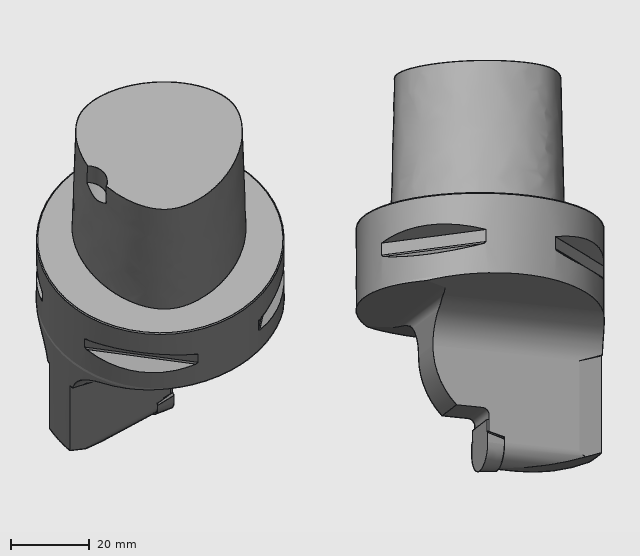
import cadquery as cq
import math


shank_height = 38.3
shank_base_radius = 22.1
shank_taper = 0.9
lobe_height = 1.2
outline_samples = 60

notch_radius = 5.1
notch_axis_y = -22.8
notch_floor_z = 31.7
notch_tip_depth = 3.9

flange_radius = 31.5
flange_height = 21.8
flange_chamfer = 0.3
step_height = 0.7
lower_radius = 31.6

groove_count = 4
groove_floor_distance = 27.9
groove_centre_z = -11.7
groove_floor_width = 3.7
groove_mouth_width = 7.7
groove_bevel = 0.5

blade_half_width = 5.4
blade_fillet_radius = 10.8
blade_fillet_end_z = -34.4
underside_slope = math.radians(8.5)
blade_round_z = -58.2

rim_z = -21.9
underside_inner_y = 17.0
underside_inner_z = -23.0
heel_y = 14.7
heel_start_z = -26.0
toe_y = 8.3
toe_z = -49.4
seat_y = -0.5
seat_fillet_radius = 1.9
belly_mid_y = -15.4
belly_mid_z = -62.6
belly_end_y = -27.1
belly_end_z = -59.5
tail_z = -57.8

corner_start_y = -25.0
corner_half_width = 4.5
corner_top_z = -32.1

insert_face_y = 0.1
insert_back_y = -4.6
insert_plate_top_z = -52.5
insert_half_width = 6.0
insert_back_half_width = 5.5
insert_shoulder = 0.6
insert_bottom_z = shank_height - 103
insert_back_bottom_z = -64.2
seat_top_z = -55.6
seat_back_top_z = -56.6
seat_slope = (seat_top_z - seat_back_top_z) / (seat_y - insert_back_y)
insert_face_top_z = seat_top_z + seat_slope * (insert_face_y - seat_y)


def lobed_outline(mean_radius):
    """Points of the three-lobed curve with support height mean_radius + lobe_height * cos(3a)."""
    points = []
    for index in range(outline_samples):
        a = 2 * math.pi * index / outline_samples
        support = mean_radius + lobe_height * math.cos(3 * a)
        slide = -3 * lobe_height * math.sin(3 * a)
        x = -support * math.sin(a) - slide * math.cos(a)
        y = support * math.cos(a) - slide * math.sin(a)
        points.append((x, y))
    return points


def make_shank():
    shank = (
        cq.Workplane("XY")
        .spline(lobed_outline(shank_base_radius), periodic=True, makeWire=True)
        .workplane(offset=shank_height)
        .spline(lobed_outline(shank_base_radius - shank_taper), periodic=True, makeWire=True)
        .loft(ruled=True)
    )
    drill = (
        cq.Workplane("XZ", origin=(0, notch_axis_y, 0))
        .moveTo(0, shank_height)
        .lineTo(notch_radius, shank_height)
        .lineTo(notch_radius, notch_floor_z)
        .lineTo(0, notch_floor_z - notch_tip_depth)
        .close()
        .revolve(360, (0, 0, 0), (0, 1, 0))
    )
    return shank.cut(drill)


def make_round_blank():
    """Turned envelope of the flange and everything below it."""
    return (
        cq.Workplane("XZ")
        .moveTo(0, 0)
        .lineTo(flange_radius - flange_chamfer, 0)
        .lineTo(flange_radius, -flange_chamfer)
        .lineTo(flange_radius, -flange_height)
        .lineTo(lower_radius, -flange_height - step_height)
        .lineTo(lower_radius, insert_bottom_z)
        .lineTo(0, insert_bottom_z)
        .close()
        .revolve(360, (0, 0, 0), (0, 1, 0))
    )


def make_width_envelope():
    """Flange, sloped underside, fillets and round-edged blade, extruded along Y."""
    centre_x = blade_half_width + blade_fillet_radius
    mid_angle = underside_slope / 2 + math.pi / 4

    def fillet_point(angle):
        x = centre_x - blade_fillet_radius * math.sin(angle)
        z = blade_fillet_end_z + blade_fillet_radius * math.cos(angle)
        return (x, z)

    top_x, top_z = fillet_point(underside_slope)
    mid_x, mid_z = fillet_point(mid_angle)
    side_z = top_z + (lower_radius - top_x) * math.tan(underside_slope)
    return (
        cq.Workplane("XZ")
        .moveTo(-lower_radius, 0)
        .lineTo(lower_radius, 0)
        .lineTo(lower_radius, side_z)
        .lineTo(top_x, top_z)
        .threePointArc((mid_x, mid_z), (blade_half_width, blade_fillet_end_z))
        .lineTo(blade_half_width, blade_round_z)
        .threePointArc((0, blade_round_z - blade_half_width), (-blade_half_width, blade_round_z))
        .lineTo(-blade_half_width, blade_fillet_end_z)
        .threePointArc((-mid_x, mid_z), (-top_x, top_z))
        .lineTo(-lower_radius, side_z)
        .close()
        .extrude(lower_radius, both=True)
    )


def make_side_envelope():
    """Side outline of flange and blade in the YZ plane, extruded along X."""
    fillet_offset = seat_fillet_radius * (1 - math.sqrt(0.5))
    return (
        cq.Workplane("YZ")
        .moveTo(-lower_radius, 0)
        .lineTo(lower_radius, 0)
        .lineTo(lower_radius, rim_z)
        .lineTo(underside_inner_y, underside_inner_z)
        .tangentArcPoint((heel_y, heel_start_z), relative=False)
        .lineTo(heel_y, blade_fillet_end_z)
        .tangentArcPoint((toe_y, toe_z), relative=False)
        .lineTo(seat_y + seat_fillet_radius, toe_z)
        .threePointArc(
            (seat_y + fillet_offset, toe_z - fillet_offset),
            (seat_y, toe_z - seat_fillet_radius),
        )
        .lineTo(seat_y, seat_top_z)
        .lineTo(insert_back_y, seat_back_top_z)
        .lineTo(insert_back_y, blade_round_z - blade_half_width)
        .threePointArc((belly_mid_y, belly_mid_z), (belly_end_y, belly_end_z))
        .lineTo(-lower_radius, tail_z)
        .close()
        .extrude(lower_radius, both=True)
    )


def make_groove_cutter():
    """Flared groove on the +X side, running along Y."""
    depth = flange_radius - groove_floor_distance
    floor_half = groove_floor_width / 2
    mouth_half = groove_mouth_width / 2
    return (
        cq.Workplane("XZ", origin=(groove_floor_distance, 0, groove_centre_z))
        .polyline([
            (0, -floor_half + groove_bevel),
            (groove_bevel / 2, -floor_half),
            (depth, -mouth_half),
            (depth, mouth_half),
            (0, floor_half),
        ])
        .close()
        .extrude(flange_radius, both=True)
    )


def make_corner_cutter(side):
    """Wedge removed from one outer blade corner; side is +1 or -1 along X."""
    outer_x = blade_half_width + 1
    wedge = (
        cq.Workplane("XY", origin=(0, 0, insert_bottom_z))
        .polyline([
            (side * blade_half_width, corner_start_y),
            (side * corner_half_width, -lower_radius),
            (side * outer_x, -lower_radius),
            (side * outer_x, corner_start_y),
        ])
        .close()
        .extrude(corner_top_z - insert_bottom_z)
    )
    sloped_top = (
        cq.Workplane("YZ")
        .polyline([
            (corner_start_y, insert_bottom_z),
            (corner_start_y, blade_fillet_end_z),
            (-lower_radius, corner_top_z),
            (-lower_radius, insert_bottom_z),
        ])
        .close()
        .extrude(outer_x, both=True)
    )
    return wedge.intersect(sloped_top)


def make_holder():
    body = make_round_blank().intersect(make_width_envelope()).intersect(make_side_envelope())
    groove = make_groove_cutter()
    pitch = 360 / groove_count
    for index in range(groove_count):
        body = body.cut(groove.rotate((0, 0, 0), (0, 0, 1), pitch * (index + 0.5)))
    for side in (-1, 1):
        body = body.cut(make_corner_cutter(side))
    return body.union(make_shank())


def head_outline(y, half_width, top_z, bottom_z):
    """Chamfer-shouldered, round-bottomed wire standing at the given Y."""
    centre_z = bottom_z + half_width
    top_half_width = half_width - insert_shoulder
    shoulder_z = top_z - insert_shoulder
    return (
        cq.Workplane("XZ", origin=(0, y, 0))
        .moveTo(-half_width, shoulder_z)
        .lineTo(-top_half_width, top_z)
        .lineTo(top_half_width, top_z)
        .lineTo(half_width, shoulder_z)
        .lineTo(half_width, centre_z)
        .threePointArc((0, bottom_z), (-half_width, centre_z))
        .close()
        .val()
    )


def make_insert():
    front = head_outline(insert_face_y, insert_half_width, insert_face_top_z, insert_bottom_z)
    back = head_outline(
        insert_back_y, insert_back_half_width, seat_back_top_z, insert_back_bottom_z
    )
    head = cq.Workplane(cq.Solid.makeLoft([front, back], True))
    plate = cq.Workplane("XY").box(
        2 * blade_half_width,
        insert_face_y - seat_y,
        insert_plate_top_z - seat_top_z,
        centered=(True, False, False),
    ).translate((0, seat_y, seat_top_z))
    return head.union(plate)


holder = make_holder()
insert = make_insert()
result = cq.Compound.makeCompound([holder.val(), insert.val()])